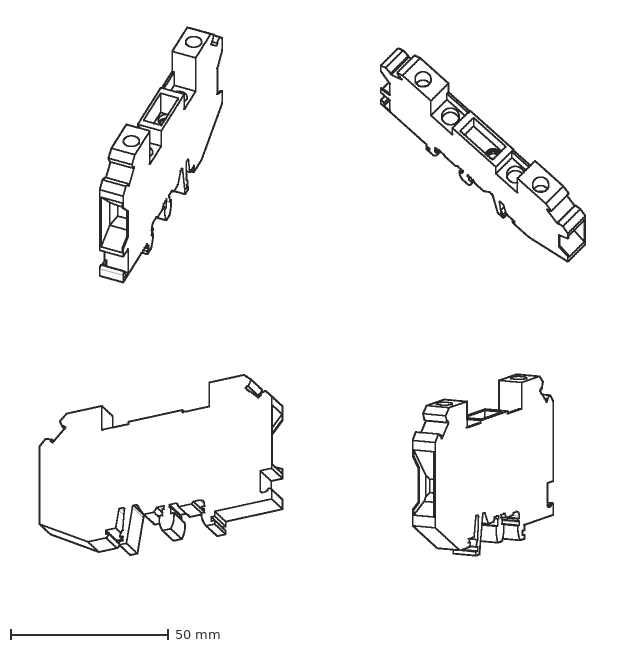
import cadquery as cq

LENGTH = 82.0
THICKNESS = 8.1
HEIGHT = 50.8
HALF_LENGTH = LENGTH / 2
LIP_THICKNESS = 0.7

TOWER_INNER_Y = 18.95
TOWER_TOP_END_Y = 31.3
MID_BLOCK_HALF = 9.5
MID_BLOCK_TOP = 43.1
LIP_TOP = 42.3
SHOULDER_Z = 41.2

REAR_CORNER_Z = 13.6
BASE_Z = 4.5
RAIL_ROOF_Z = 8.9
RELIEF_Z = 10.4
SLOT_TOP_Z = 12.95
CATCH_NOTCH_LOW = 1.3
CATCH_NOTCH_HIGH = 2.8
END_NOTCH_DEPTH = 4.0
END_NOTCH_TOP = 15.4
BEAD_BACK_Y = -39.45
TROUGH_FLOOR_Z = 5.3

PLUG_Y = -3.9
PLUG_BOTTOM_Z = 1.7
PLUG_SHOULDER_Z = 7.2
PLUG_NECK_Z = 9.4
PLUG_NECK_HALF = 1.0
PLUG_STEM_HALF = 1.5
PLUG_HEAD_HALF = 2.55
PLUG_BELLY_HALF = 2.6
PLUG_BELLY_Z = 5.6
PLUG_TIP_HALF = 1.5

FUNNEL_LEFT = 0.5
FUNNEL_RIGHT = 7.7
FUNNEL_TOP = 38.1
FUNNEL_BOTTOM = 17.05
FUNNEL_KNEE_Z = 20.3
FUNNEL_KNEE_DEPTH = 7.2
FUNNEL_DEPTH = 9.7
THROAT_LEFT = 2.2
THROAT_RIGHT = 7.0
THROAT_TOP = 27.2
THROAT_BOTTOM = 22.8
RIGHT_TAPER_LENGTH = 1.15

WINDOW_DEPTH = 4.0
WINDOW_OUTER_TOP = 36.2
WINDOW_INNER_TOP = 31.6
WINDOW_INNER_BOTTOM = 20.6
WINDOW_OUTER_BOTTOM = 18.8

SCREW_X = 4.6
SCREW_Y = 25.75
SCREW_RADIUS = 2.55
SCREW_HOLE_DEPTH = 8.2
DRIVER_SLOT_WIDTH = 1.15
DRIVER_SLOT_DEPTH = 0.8
DRIVER_SLOT_ANGLE = -45.0

RECESS_FLOOR_Z = 36.65
SOCKET_X = 4.1
SOCKET_Y = (TOWER_INNER_Y + MID_BLOCK_HALF) / 2
SOCKET_RADIUS = 2.8
SOCKET_DEPTH = 4.1

POCKET_LEFT = 1.0
POCKET_RIGHT = 7.1
POCKET_HALF_LENGTH = 7.05
POCKET_DEPTH = 8.2
MID_SCREW_X = 4.1
MID_SCREW_Y = 4.5
MID_BORE_RADIUS = 2.6
MID_BORE_DEPTH = 1.6
MID_SCREW_RADIUS = 2.1
MID_SCREW_DEPTH = 1.6

ENDS = (1, -1)


def marker_shoulder(side):
    """Points from the tower top down to the end face, round the marker groove."""
    points = [
        (TOWER_TOP_END_Y, HEIGHT),
        (33.8, 48.6),
        (32.8, 46.3),
        (32.5, 46.7),
        (31.7, 46.0),
        (36.3, 41.65),
        (37.15, 42.5),
        (36.5, 42.7),
        (38.8, 43.55),
        (HALF_LENGTH, SHOULDER_Z),
    ]
    return [(side * y, z) for y, z in points]


def add_lines(outline, points):
    for point in points:
        outline = outline.lineTo(*point)
    return outline


def rear_foot_and_spring_leg(outline):
    """Rear underside, rear foot and the sloping spring leg between its two slots."""
    outline = add_lines(outline, [(HALF_LENGTH, REAR_CORNER_Z), (23.9, 3.5), (17.5, 3.5)])
    outline = outline.threePointArc((16.9, 3.9), (16.7, 5.0))
    outline = add_lines(outline, [(17.55, 5.0), (17.55, 6.2), (14.0, 6.2), (12.95, 12.4)])
    outline = outline.threePointArc((12.7, 12.8), (12.3, SLOT_TOP_Z)).lineTo(11.65, SLOT_TOP_Z)
    outline = outline.threePointArc((11.15, 12.7), (11.0, 12.2)).lineTo(11.6, 5.0)
    outline = outline.threePointArc((12.2, 4.1), (12.55, CATCH_NOTCH_HIGH))
    return add_lines(outline, [
        (11.6, CATCH_NOTCH_HIGH),
        (11.6, CATCH_NOTCH_LOW),
        (12.8, CATCH_NOTCH_LOW),
        (12.8, 0),
        (10.25, 0),
        (8.1, 12.3),
    ])


def rail_roof_and_plug(outline):
    """Roof over the mounting rail, with the plug hanging from it."""
    outline = outline.threePointArc((8.0, 12.7), (7.7, SLOT_TOP_Z))
    outline = add_lines(outline, [
        (6.65, SLOT_TOP_Z),
        (4.2, RAIL_ROOF_Z),
        (0.6, RAIL_ROOF_Z),
        (-0.5, RELIEF_Z),
    ])
    half_plug = [
        (PLUG_NECK_HALF, RELIEF_Z),
        (PLUG_NECK_HALF, PLUG_NECK_Z),
        (PLUG_STEM_HALF, PLUG_NECK_Z),
        (PLUG_STEM_HALF, PLUG_SHOULDER_Z),
        (PLUG_HEAD_HALF, PLUG_SHOULDER_Z),
    ]
    outline = add_lines(outline, [(PLUG_Y + half, z) for half, z in half_plug])
    outline = outline.threePointArc(
        (PLUG_Y + PLUG_BELLY_HALF, PLUG_BELLY_Z), (PLUG_Y + PLUG_TIP_HALF, PLUG_BOTTOM_Z))
    outline = outline.lineTo(PLUG_Y - PLUG_TIP_HALF, PLUG_BOTTOM_Z)
    outline = outline.threePointArc(
        (PLUG_Y - PLUG_BELLY_HALF, PLUG_BELLY_Z), (PLUG_Y - PLUG_HEAD_HALF, PLUG_SHOULDER_Z))
    outline = add_lines(outline, [(PLUG_Y - half, z) for half, z in reversed(half_plug[:-1])])
    return add_lines(outline, [
        (-7.4, RELIEF_Z),
        (-8.2, RAIL_ROOF_Z),
        (-12.8, RAIL_ROOF_Z),
        (-13.4, 9.7),
        (-15.6, 9.7),
    ])


def fixed_foot_and_front_base(outline):
    """Fixed foot that hooks the rail, then the front base with its notch and bead."""
    outline = outline.threePointArc((-16.8, 9.1), (-17.2, 8.0))
    outline = add_lines(outline, [(-17.2, 7.2), (-16.15, 7.2), (-16.15, 6.5), (-16.8, 6.5)])
    outline = outline.threePointArc((-17.1, 6.3), (-17.2, 6.0))
    outline = add_lines(outline, [(-17.2, 5.0), (-16.15, 5.0)])
    outline = outline.threePointArc((-16.6, 2.5), (-17.9, 0))
    outline = add_lines(outline, [
        (-20.9, 0),
        (-20.9, CATCH_NOTCH_LOW),
        (-19.7, CATCH_NOTCH_LOW),
        (-19.7, CATCH_NOTCH_HIGH),
        (-20.9, CATCH_NOTCH_HIGH),
        (-20.9, BASE_Z),
        (-HALF_LENGTH, BASE_Z),
        (-HALF_LENGTH, 7.6),
    ])
    outline = outline.threePointArc((-40.3, 8.45), (-39.5, 7.95))
    outline = outline.threePointArc((-38.2, 7.5), (END_NOTCH_DEPTH - HALF_LENGTH, 8.1))
    return add_lines(outline, [
        (END_NOTCH_DEPTH - HALF_LENGTH, END_NOTCH_TOP),
        (-HALF_LENGTH, END_NOTCH_TOP),
    ])


def body():
    """Full side outline extruded through the thickness."""
    outline = cq.Workplane("YZ").moveTo(-TOWER_INNER_Y, HEIGHT)
    outline = add_lines(outline, [
        (-TOWER_INNER_Y, LIP_TOP),
        (-MID_BLOCK_HALF, LIP_TOP),
        (-MID_BLOCK_HALF, MID_BLOCK_TOP),
        (MID_BLOCK_HALF, MID_BLOCK_TOP),
        (MID_BLOCK_HALF, LIP_TOP),
        (TOWER_INNER_Y, LIP_TOP),
        (TOWER_INNER_Y, HEIGHT),
    ])
    outline = add_lines(outline, marker_shoulder(1))
    outline = rear_foot_and_spring_leg(outline)
    outline = rail_roof_and_plug(outline)
    outline = fixed_foot_and_front_base(outline)
    outline = add_lines(outline, reversed(marker_shoulder(-1)))
    return outline.close().extrude(THICKNESS)


def box(x_range, y_range, z_range):
    """Axis-aligned box spanning the three given (low, high) ranges."""
    sizes = [high - low for low, high in (x_range, y_range, z_range)]
    corner = (x_range[0], y_range[0], z_range[0])
    return cq.Workplane("XY").box(*sizes, centered=False).translate(corner)


def bore(x, y, top, radius, depth):
    """Vertical cylinder going down from the given height."""
    return cq.Workplane("XY").center(x, y).circle(radius).extrude(-depth).translate((0, 0, top))


def slotted_bore(x, y, top, radius, depth):
    """Bore with a screwdriver slot cut across its floor."""
    slot = cq.Workplane("XY").rect(2 * radius, DRIVER_SLOT_WIDTH).extrude(-DRIVER_SLOT_DEPTH)
    slot = slot.rotate((0, 0, 0), (0, 0, 1), DRIVER_SLOT_ANGLE).translate((x, y, top - depth))
    slot = slot.intersect(bore(x, y, top, radius, depth + DRIVER_SLOT_DEPTH))
    return bore(x, y, top, radius, depth).union(slot)


def funnel(side):
    """Wire entry: the tapers seen from the side and from above, intersected."""
    def inward(depth):
        return side * (HALF_LENGTH - depth)

    side_shape = cq.Workplane("YZ").polyline([
        (inward(0), FUNNEL_TOP),
        (inward(FUNNEL_DEPTH), THROAT_TOP),
        (inward(FUNNEL_DEPTH), THROAT_BOTTOM),
        (inward(FUNNEL_KNEE_DEPTH), FUNNEL_KNEE_Z),
        (inward(0), FUNNEL_BOTTOM),
    ]).close().extrude(THICKNESS)
    plan_shape = cq.Workplane("XY").polyline([
        (FUNNEL_LEFT, inward(0)),
        (FUNNEL_RIGHT, inward(0)),
        (FUNNEL_RIGHT, inward(FUNNEL_DEPTH - RIGHT_TAPER_LENGTH)),
        (THROAT_RIGHT, inward(FUNNEL_DEPTH)),
        (THROAT_LEFT, inward(FUNNEL_DEPTH)),
        (FUNNEL_LEFT, inward(FUNNEL_KNEE_DEPTH)),
    ]).close().extrude(HEIGHT)
    window = cq.Workplane("YZ", origin=(FUNNEL_RIGHT, 0, 0)).polyline([
        (inward(0), WINDOW_OUTER_TOP),
        (inward(WINDOW_DEPTH), WINDOW_INNER_TOP),
        (inward(WINDOW_DEPTH), WINDOW_INNER_BOTTOM),
        (inward(0), WINDOW_OUTER_BOTTOM),
    ]).close().extrude(THICKNESS - FUNNEL_RIGHT)
    return side_shape.intersect(plan_shape).union(window)


def socket_recess(side):
    """Recess open to +X beside the middle block, with a round socket in its floor."""
    y_range = sorted((side * MID_BLOCK_HALF, side * TOWER_INNER_Y))
    recess = box((LIP_THICKNESS, THICKNESS), y_range, (RECESS_FLOOR_Z, HEIGHT))
    return recess.union(bore(SOCKET_X, side * SOCKET_Y, RECESS_FLOOR_Z, SOCKET_RADIUS, SOCKET_DEPTH))


def bead_trough():
    """Trough behind the front bead, open to +X and closed by a thin wall at -X."""
    y_range = (BEAD_BACK_Y, END_NOTCH_DEPTH - HALF_LENGTH)
    return box((LIP_THICKNESS, THICKNESS), y_range, (TROUGH_FLOOR_Z, END_NOTCH_TOP))


def middle_pocket():
    """Rectangular pocket with a stepped, slotted screw hole at its +Y end."""
    floor = MID_BLOCK_TOP - POCKET_DEPTH
    pocket = box(
        (POCKET_LEFT, POCKET_RIGHT),
        (-POCKET_HALF_LENGTH, POCKET_HALF_LENGTH),
        (floor, MID_BLOCK_TOP),
    )
    pocket = pocket.union(bore(MID_SCREW_X, MID_SCREW_Y, floor, MID_BORE_RADIUS, MID_BORE_DEPTH))
    bore_floor = floor - MID_BORE_DEPTH
    return pocket.union(
        slotted_bore(MID_SCREW_X, MID_SCREW_Y, bore_floor, MID_SCREW_RADIUS, MID_SCREW_DEPTH))


result = body().cut(middle_pocket()).cut(bead_trough())
for end in ENDS:
    result = result.cut(funnel(end))
    result = result.cut(socket_recess(end))
    result = result.cut(slotted_bore(SCREW_X, end * SCREW_Y, HEIGHT, SCREW_RADIUS, SCREW_HOLE_DEPTH))